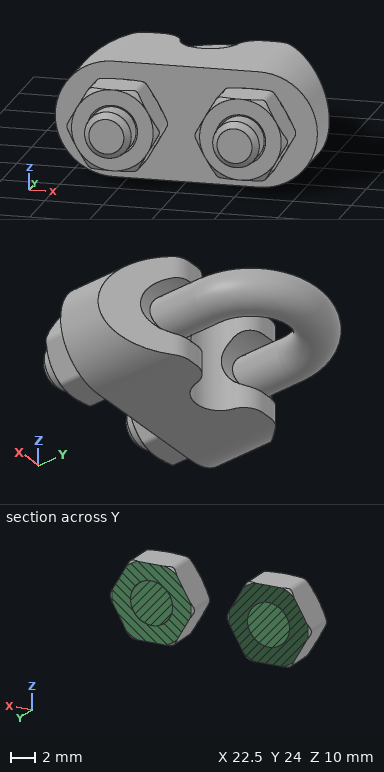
import cadquery as cq
import math


total_length = 24.0
rod_diameter = 4.0
rod_radius = rod_diameter / 2
leg_offset = 5.5
end_chamfer = 0.5
end_projection = 5.23
bow_outer_radius = leg_offset + rod_radius
bow_centre_y = total_length - end_projection - bow_outer_radius
leg_length = bow_centre_y + end_projection

saddle_length = 22.5
saddle_thickness = 10.0
saddle_height = 9.0
edge_fillet = 2.0
half_length = saddle_length / 2
end_radius = saddle_thickness / 2
flat_half_length = half_length - end_radius

rope_radius = 2.5
rope_depth = 3.5

channel_radius = 3.0
channel_depth = 2.5

nut_across_flats = 7.0
nut_thickness = 3.26
nut_corner_fillet = 0.5
nut_chamfer_angle = 30.0
countersink_radius = 2.15
nut_corner_radius = nut_across_flats / 2 / math.cos(math.radians(30))


def rod_along_y(radius, start_y, length):
    """Round bar on the Y axis, from start_y towards +Y."""
    return cq.Workplane("XZ", origin=(0, start_y, 0)).circle(radius).extrude(-length)


def make_u_bolt():
    bow = (
        cq.Workplane("XZ", origin=(0, bow_centre_y, 0))
        .center(leg_offset, 0)
        .circle(rod_radius)
        .revolve(180, (-leg_offset, 0), (-leg_offset, 1))
    )
    leg = rod_along_y(rod_radius, -end_projection, leg_length).faces("<Y").chamfer(end_chamfer)
    u_bolt = bow
    for side in (-1, 1):
        u_bolt = u_bolt.union(leg.translate((side * leg_offset, 0, 0)))
    return u_bolt


def make_saddle_profile():
    """Block with 45 degree shoulders and the lipped rope groove, extruded along Z."""
    shoulder_y = saddle_height - end_radius
    block = (
        cq.Workplane("XY")
        .moveTo(-half_length, 0)
        .lineTo(half_length, 0)
        .lineTo(half_length, shoulder_y)
        .lineTo(flat_half_length, saddle_height)
        .lineTo(-flat_half_length, saddle_height)
        .lineTo(-half_length, shoulder_y)
        .close()
        .extrude(end_radius, both=True)
    )
    block = block.edges("|Z and >Y").fillet(edge_fillet)
    rope_centre_y = saddle_height - rope_depth + rope_radius
    rope = cq.Workplane("XY").center(0, rope_centre_y).circle(rope_radius).extrude(end_radius, both=True)
    lip_zone = cq.selectors.BoxSelector(
        (-rope_radius, rope_centre_y, -saddle_thickness),
        (rope_radius, rope_centre_y + rope_radius, saddle_thickness),
    )
    return block.cut(rope).edges("|Z").edges(lip_zone).fillet(edge_fillet)


def make_saddle():
    stadium = cq.Workplane("XZ").slot2D(saddle_length, saddle_thickness).extrude(-saddle_height)
    channel_y = saddle_height - channel_depth + channel_radius
    channel = cq.Workplane("YZ").center(channel_y, 0).circle(channel_radius).extrude(half_length, both=True)
    saddle = make_saddle_profile().intersect(stadium).cut(channel)
    leg_hole = rod_along_y(rod_radius, 0, saddle_height)
    for side in (-1, 1):
        saddle = saddle.cut(leg_hole.translate((side * leg_offset, 0, 0)))
    return saddle


def make_nut():
    """Nut on the Y axis, its inner face on Y = 0."""
    hexagon = (
        cq.Workplane("XZ")
        .polygon(6, 2 * nut_corner_radius)
        .extrude(nut_thickness)
        .edges("|Y")
        .fillet(nut_corner_fillet)
    )
    face_radius = nut_across_flats / 2
    chamfer_width = nut_corner_radius - face_radius
    chamfer_depth = chamfer_width * math.tan(math.radians(nut_chamfer_angle))
    blank = (
        cq.Workplane("XY")
        .moveTo(0, 0)
        .lineTo(face_radius, 0)
        .lineTo(nut_corner_radius, -chamfer_depth)
        .lineTo(nut_corner_radius, chamfer_depth - nut_thickness)
        .lineTo(face_radius, -nut_thickness)
        .lineTo(0, -nut_thickness)
        .close()
        .revolve(360, (0, 0), (0, 1))
    )
    bore = rod_along_y(rod_radius, -nut_thickness, nut_thickness)
    nut = hexagon.intersect(blank).cut(bore)
    bore_edge = nut.faces("<Y").edges("%CIRCLE").edges(cq.selectors.RadiusNthSelector(0))
    return bore_edge.chamfer(countersink_radius - rod_radius)


u_bolt = make_u_bolt()
saddle = make_saddle()
nuts = [make_nut().translate((side * leg_offset, 0, 0)) for side in (-1, 1)]

result = cq.Compound.makeCompound([u_bolt.val(), saddle.val(), *[nut.val() for nut in nuts]])